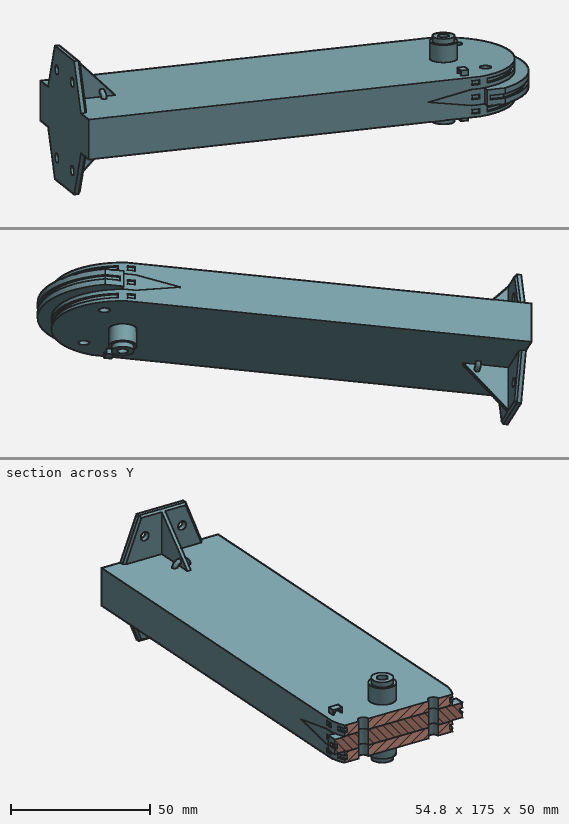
import cadquery as cq
import math

arm_width = 50.0
arm_thickness = 15.0
half_width = arm_width / 2
half_thickness = arm_thickness / 2
pivot_y = 144.5
housing_radius = 25.5

insert_radius = 30.5
insert_width = 54.8
insert_thickness = 6.0
insert_shoulder_y = 151.0
wedge_base_y = 146.0
wedge_tip_y = 129.5

groove_start_y = 152.3
groove_depth = 1.0
groove_width = 1.6
housing_groove_z = 5.4
pocket_start_y = 146.2
pocket_end_y = 149.0

rim_hole_diameter = 4.0
rim_hole_x = 15.0
rim_hole_y = 155.0

boss_diameter = 10.0
boss_top_z = 14.0
boss_neck_diameter = 8.0
boss_neck_top_z = 16.0
boss_bore_diameter = 4.0

eyelet_x = 20.0
eyelet_width = 4.0
eyelet_length = 2.8
eyelet_height = 2.0
eyelet_opening_radius = 1.5

plate_height = 50.0
plate_top_width = 20.0
plate_middle_width = 40.0
plate_thickness = 2.4
plate_chamfer = 0.8
plate_hole_diameter = 3.4
plate_hole_x = 8.0
plate_hole_z = 16.5
rib_thickness = 1.5
loop_y = 14.0
loop_ring_radius = 3.0
loop_wire_radius = 1.0
loop_center_z = 6.5


def block(x_size, y_start, y_end, z_start, z_end):
    """Box centred on X between the given Y and Z limits."""
    size = (x_size, y_end - y_start, z_end - z_start)
    return cq.Workplane("XY").box(*size, centered=(True, False, False)).translate((0, y_start, z_start))


def rounded_plan(width, radius, y_start, z_half):
    """Strip along Y, centred on Z, that ends in an arc about the pivot."""
    half = width / 2
    corner_y = pivot_y + math.sqrt(radius**2 - half**2)
    return (
        cq.Workplane("XY", origin=(0, 0, -z_half))
        .moveTo(-half, y_start)
        .lineTo(half, y_start)
        .lineTo(half, corner_y)
        .threePointArc((0, pivot_y + radius), (-half, corner_y))
        .close()
        .extrude(2 * z_half)
    )


def rim_groove(width, radius, z_center):
    """Cutter for a groove that follows the rounded rim."""
    z_half = groove_width / 2
    outside = rounded_plan(width + groove_depth, radius + groove_depth, pocket_start_y, z_half)
    core = rounded_plan(width - 2 * groove_depth, radius - groove_depth, pocket_start_y, z_half)
    beyond_start = block(2 * width, groove_start_y, pivot_y + 2 * radius, -z_half, z_half)
    return outside.cut(core).intersect(beyond_start).translate((0, 0, z_center))


def side_pockets(z_center):
    """Cutter for the two short pockets in the arm sides, level with a rim groove."""
    z_start = z_center - groove_width / 2
    z_end = z_center + groove_width / 2
    outside = block(arm_width + groove_depth, pocket_start_y, pocket_end_y, z_start, z_end)
    core = block(arm_width - 2 * groove_depth, pocket_start_y, pocket_end_y, z_start, z_end)
    return outside.cut(core)


def rim_holes():
    """Cutters for the two holes through the housing and the insert."""
    return (
        cq.Workplane("XY", origin=(0, 0, -half_thickness))
        .pushPoints([(-rim_hole_x, rim_hole_y), (rim_hole_x, rim_hole_y)])
        .circle(rim_hole_diameter / 2)
        .extrude(arm_thickness)
    )


def fork_profile():
    """Wedge tail and slot of the fork, across the whole arm width."""
    z = insert_thickness / 2
    end_y = pivot_y + insert_radius
    return (
        cq.Workplane("YZ", origin=(-half_width, 0, 0))
        .polyline([(wedge_tip_y, 0), (wedge_base_y, z), (end_y, z), (end_y, -z), (wedge_base_y, -z)])
        .close()
        .extrude(arm_width)
    )


def make_boss():
    """Stepped boss on the upper face with a blind bore down to that face."""
    return (
        cq.Workplane("XY", origin=(0, pivot_y, half_thickness))
        .circle(boss_diameter / 2)
        .extrude(boss_top_z - half_thickness)
        .faces(">Z")
        .workplane()
        .circle(boss_neck_diameter / 2)
        .extrude(boss_neck_top_z - boss_top_z)
        .faces(">Z")
        .workplane()
        .hole(boss_bore_diameter, boss_neck_top_z - half_thickness)
    )


def make_eyelet():
    """Small block on the upper face with an arched passage along Y."""
    eyelet = cq.Workplane("XY").box(
        eyelet_width, eyelet_length, eyelet_height, centered=(True, True, False)
    )
    passage = cq.Workplane("XZ").circle(eyelet_opening_radius).extrude(eyelet_length, both=True)
    return eyelet.cut(passage).translate((eyelet_x, pivot_y, half_thickness))


def make_plate():
    """Hexagonal plate with chamfered back edges, flush with the near end of the arm."""
    top = plate_top_width / 2
    middle = plate_middle_width / 2
    z = plate_height / 2
    return (
        cq.Workplane("XZ", origin=(0, plate_thickness, 0))
        .polyline([(middle, 0), (top, z), (-top, z), (-middle, 0), (-top, -z), (top, -z)])
        .close()
        .extrude(plate_thickness)
        .faces(">Y")
        .chamfer(plate_chamfer)
        .faces("<Y")
        .workplane(origin=(0, 0, 0))
        .rect(2 * plate_hole_x, 2 * plate_hole_z, forConstruction=True)
        .vertices()
        .hole(plate_hole_diameter)
    )


def make_rib():
    """Triangular 45 degree rib whose slope continues the plate chamfer down to the arm."""
    top_y = plate_thickness - plate_chamfer
    rib_height = plate_height / 2 - half_thickness
    return (
        cq.Workplane("YZ", origin=(-rib_thickness / 2, 0, 0))
        .moveTo(top_y, half_thickness)
        .lineTo(top_y + rib_height, half_thickness)
        .lineTo(top_y, plate_height / 2)
        .close()
        .extrude(rib_thickness)
    )


def make_loop():
    """Wire loop that rises from the upper face and passes through the rib."""
    ring = cq.Workplane(
        cq.Solid.makeTorus(
            loop_ring_radius,
            loop_wire_radius,
            cq.Vector(0, loop_y, loop_center_z),
            cq.Vector(0, 1, 0),
        )
    )
    above_face = block(arm_width, 0, pivot_y, half_thickness, plate_height)
    return ring.intersect(above_face)


def make_housing():
    housing = rounded_plan(arm_width, housing_radius, 0, half_thickness)
    housing = housing.cut(fork_profile()).cut(rim_holes())
    for z in (-housing_groove_z, housing_groove_z):
        housing = housing.cut(rim_groove(arm_width, housing_radius, z)).cut(side_pockets(z))
    housing = housing.union(make_plate())
    for feature in (make_boss(), make_eyelet(), make_rib(), make_loop()):
        housing = housing.union(feature).union(feature.mirror("XY"))
    return housing


def make_insert():
    z = insert_thickness / 2
    head = rounded_plan(insert_width, insert_radius, insert_shoulder_y, z)
    tail = fork_profile().intersect(block(arm_width, 0, insert_shoulder_y, -z, z))
    insert = head.union(tail).cut(rim_holes())
    return insert.cut(rim_groove(insert_width, insert_radius, 0)).cut(side_pockets(0))


housing = make_housing()
insert = make_insert()

result = cq.Compound.makeCompound([housing.val(), insert.val()])